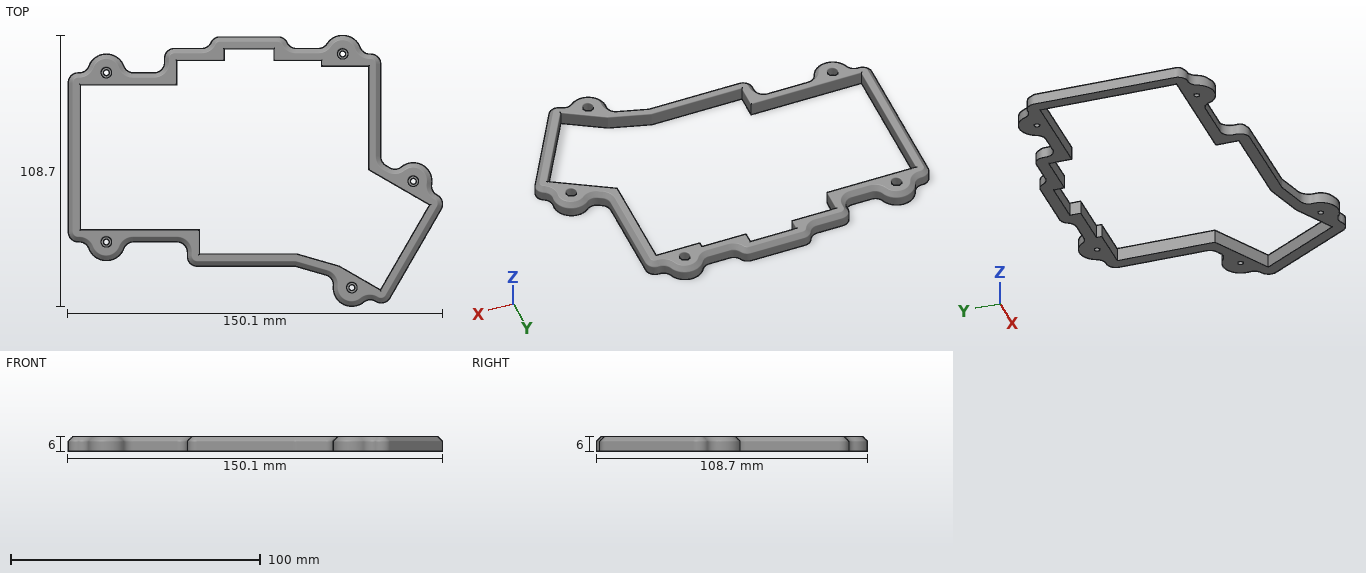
import cadquery as cq
import math

height = 6.0
wall = 5.0
corner_radius = 4.0
top_chamfer = 2.0
edge_radius = 0.5

pitch = 19.0
left_height = 57.9
left_step = 38.5
upper_y = 67.6
tab_y = 72.3
tab_width = 19.8
right_y = 65.4
right_x = 115.3
elbow_y = 24.0
slant = 30
slant_width = 28.2
slant_length = 39.3
lower_y = -9.7
lower_start = 47.7
lower_end = 86.7

boss_radius = 7.5
boss_setback = 10.3
screw_diameter = 2.2
bore_diameter = 4.2
bore_depth = 4.0

tolerance = 0.001


def step(point, length, angle):
    """Point reached from another point over a length at an angle in degrees."""
    turn = math.radians(angle)
    return (point[0] + length * math.cos(turn), point[1] + length * math.sin(turn))


lower_left = (0, 0)
upper_left = (0, left_height)
upper_right = (right_x, right_y)
elbow = (right_x, elbow_y)
slant_right = step(elbow, slant_width, -slant)
slant_bottom = step(slant_right, slant_length, -slant - 90)
slant_left = step(slant_bottom, pitch, 180 - slant)

tab_start = left_step + pitch
tab_end = tab_start + tab_width
notch_x = tab_end + pitch

opening_points = [
    lower_left,
    upper_left,
    (left_step, left_height),
    (left_step, upper_y),
    (tab_start, upper_y),
    (tab_start, tab_y),
    (tab_end, tab_y),
    (tab_end, upper_y),
    (notch_x, upper_y),
    (notch_x, right_y),
    upper_right,
    elbow,
    slant_right,
    slant_bottom,
    slant_left,
    (lower_end, lower_y),
    (lower_start, lower_y),
    (lower_start, 0),
]


def boss_centre(corner, along, outward):
    """Boss place: set back along an opening edge, then out to the outer line."""
    return step(step(corner, boss_setback, along), wall, outward)


boss_centres = [
    boss_centre(lower_left, 0, -90),
    boss_centre(upper_left, 0, 90),
    boss_centre(upper_right, 180, 90),
    boss_centre(slant_right, 180 - slant, 90 - slant),
    boss_centre(slant_bottom, 180 - slant, -90 - slant),
]


def opening_outline():
    return cq.Workplane("XY").polyline(opening_points).close()


def sharp_outline():
    """Outer wire of the rim and bosses with every corner still sharp."""
    rim = opening_outline().offset2D(wall, "intersection").extrude(height)
    bosses = cq.Workplane("XY").pushPoints(boss_centres).circle(boss_radius).extrude(height)
    return rim.union(bosses).faces("<Z").wires().val()


def rounded(outline):
    """Round the inside corners by going out and in, the outside ones by in and out."""
    for distance in (corner_radius, -2 * corner_radius, corner_radius):
        outline = outline.offset2D(distance)[0]
    return outline


def screw_holes():
    """Screw holes through the rim, each with a wider bore from the top."""
    places = cq.Workplane("XY").pushPoints(boss_centres)
    screws = places.circle(screw_diameter / 2).extrude(height)
    bores = places.circle(bore_diameter / 2).extrude(bore_depth).translate((0, 0, height - bore_depth))
    return screws.union(bores)


def lies_at(edge, level):
    """True for an edge that runs flat at the given height."""
    box = edge.BoundingBox()
    return abs(box.zmin - level) < tolerance and abs(box.zmax - level) < tolerance


frame = cq.Workplane("XY").add(rounded(sharp_outline())).toPending().extrude(height)
frame = frame.faces(">Z").edges().chamfer(top_chamfer)
frame = frame.cut(opening_outline().extrude(height)).cut(screw_holes())

frame = frame.faces(">Z").edges().fillet(edge_radius)
foot_z = height - top_chamfer
foot_edges = [edge for edge in frame.edges().vals() if lies_at(edge, foot_z)]
result = frame.newObject(foot_edges).fillet(edge_radius)